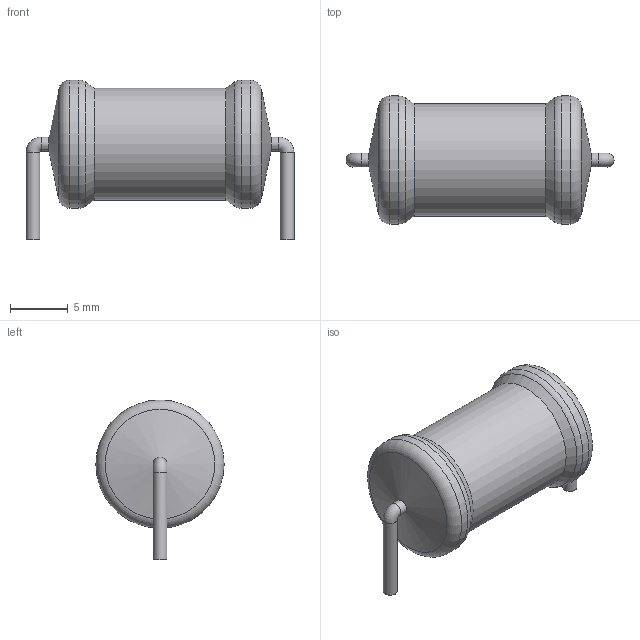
import cadquery as cq
import math


barrel_diameter = 9.71
cap_diameter = 11.1
cap_rim_outer_x = 7.8
cap_rim_inner_x = 7.03
rim_round_radius = 1.0
end_cone_angle = 78.7
shoulder_angle = 34.0

lead_diameter = 1.2
lead_pitch = 22.0
lead_bend_radius = 0.7
overall_height = 13.85

barrel_radius = barrel_diameter / 2
cap_radius = cap_diameter / 2
lead_radius = lead_diameter / 2
lead_x = lead_pitch / 2
lead_tip_z = cap_radius - overall_height
round_centre_r = cap_radius - rim_round_radius


def rim_round_point(centre_x, angle):
    """Point on a rim round whose tangent is inclined by angle to the axis; positive faces +X."""
    tilt = math.radians(angle)
    x = centre_x + rim_round_radius * math.sin(tilt)
    r = round_centre_r + rim_round_radius * math.cos(tilt)
    return x, r


shoulder_start = rim_round_point(cap_rim_inner_x, -shoulder_angle)
shoulder_drop = shoulder_start[1] - barrel_radius
barrel_end_x = shoulder_start[0] - shoulder_drop / math.tan(math.radians(shoulder_angle))

cone_start = rim_round_point(cap_rim_outer_x, end_cone_angle)
cone_drop = cone_start[1] - lead_radius
cone_end_x = cone_start[0] + cone_drop / math.tan(math.radians(end_cone_angle))


def make_barrel():
    """Straight cylinder between the two end caps."""
    return cq.Workplane("YZ", origin=(-barrel_end_x, 0, 0)).circle(barrel_radius).extrude(2 * barrel_end_x)


def make_cap():
    """Revolve the +X end cap: shoulder, rounded rim and conical end."""
    profile = (
        cq.Workplane("XY")
        .moveTo(barrel_end_x, 0)
        .lineTo(barrel_end_x, barrel_radius)
        .lineTo(*shoulder_start)
        .threePointArc(
            rim_round_point(cap_rim_inner_x, -shoulder_angle / 2),
            (cap_rim_inner_x, cap_radius),
        )
        .lineTo(cap_rim_outer_x, cap_radius)
        .threePointArc(rim_round_point(cap_rim_outer_x, end_cone_angle / 2), cone_start)
        .lineTo(cone_end_x, lead_radius)
        .lineTo(cone_end_x, 0)
        .close()
    )
    return profile.revolve(360, (0, 0, 0), (1, 0, 0))


def make_lead():
    """Sweep the +X lead: out of the body along the axis, round the bend and straight down."""
    embedded_start_x = cap_rim_outer_x
    bend_start_x = lead_x - lead_bend_radius
    bend_middle = (
        bend_start_x + lead_bend_radius * math.sin(math.pi / 4),
        -lead_bend_radius + lead_bend_radius * math.cos(math.pi / 4),
    )
    path = (
        cq.Workplane("XZ")
        .moveTo(embedded_start_x, 0)
        .lineTo(bend_start_x, 0)
        .threePointArc(bend_middle, (lead_x, -lead_bend_radius))
        .lineTo(lead_x, lead_tip_z)
    )
    section = cq.Workplane("YZ", origin=(embedded_start_x, 0, 0)).circle(lead_radius)
    return section.sweep(path)


cap_and_lead = make_cap().union(make_lead())
result = make_barrel().union(cap_and_lead).union(cap_and_lead.mirror("YZ"))